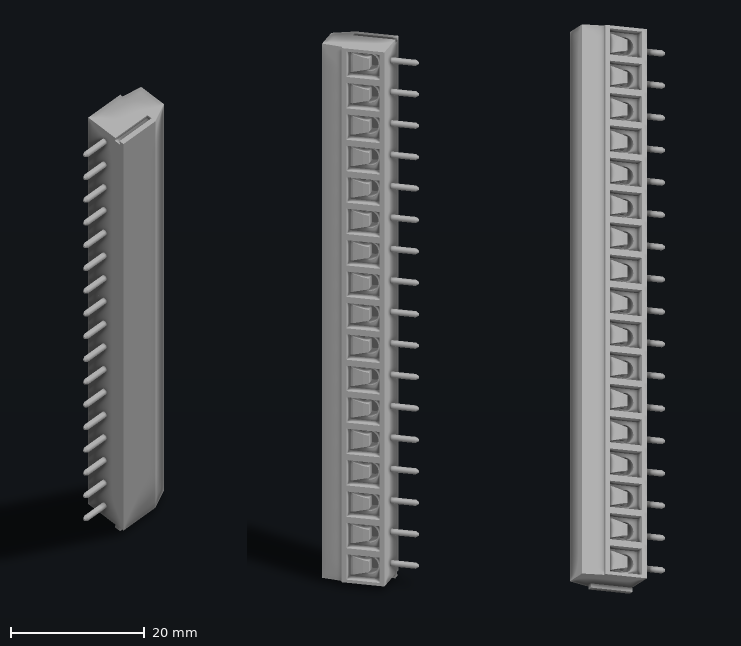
import cadquery as cq

poles = 17
body_width = 7.5
body_depth = 10.0
total_length = 85.7
rail_height = 0.7
pin_length = 4.3

body_bottom = rail_height
body_length = total_length - rail_height
pitch = body_length / poles

shoulder_y = 6.7
shoulder_step = 0.5
crown_left = 1.0
crown_right = 5.9

rail_x = 6.25
rail_root_width = 0.85
rail_tip_width = 1.1

window_bottom_y = 0.8
window_top_y = 5.9
window_height = 4.0
window_depth = 1.8

hole_y = 2.8
hole_radius = 1.4
hole_depth = 2.6

leaf_rise = 0.9
leaf_root = 0.85
leaf_tip_y = 2.7
leaf_bend_y = 3.6
leaf_ramp_y = 5.1
leaf_top_y = 5.6
leaf_tip_height = 1.7
leaf_bend_height = 2.05
leaf_top_height = 3.1
leaf_bend_drop = 0.2
leaf_ramp_drop = 0.21

pin_x = 3.5
pin_radius = 0.47
pin_tip_length = 0.4
pin_tip_inset = 0.25


def make_body():
    outline = [
        (0, 0),
        (body_width, 0),
        (body_width, shoulder_y),
        (crown_right, body_depth),
        (crown_left, body_depth),
        (shoulder_step, shoulder_y),
        (0, shoulder_y),
    ]
    return cq.Workplane("XY").workplane(offset=body_bottom).polyline(outline).close().extrude(body_length)


def dovetail(root_z):
    """Dovetail bar along Y, narrow at root_z and wide one rail height below it."""
    tip_z = root_z - rail_height
    profile = [
        (rail_x - rail_root_width / 2, root_z),
        (rail_x + rail_root_width / 2, root_z),
        (rail_x + rail_tip_width / 2, tip_z),
        (rail_x - rail_tip_width / 2, tip_z),
    ]
    return cq.Workplane("XZ").polyline(profile).close().extrude(-shoulder_y)


def make_window(z):
    """Rectangular wire window with the round wire hole behind it."""
    window = (
        cq.Workplane("XY", origin=(0, window_bottom_y, z))
        .box(window_depth, window_top_y - window_bottom_y, window_height, centered=(False, False, True))
    )
    hole = (
        cq.Workplane("YZ")
        .center(hole_y, z)
        .circle(hole_radius)
        .extrude(window_depth + hole_depth)
    )
    return window.union(hole)


def make_leaf(z):
    """Bent clamp leaf: its side profile trimmed to a tapering front outline."""
    back_x = window_depth + leaf_root
    front_x = window_depth - leaf_rise
    side = [
        (back_x, leaf_tip_y),
        (front_x + leaf_bend_drop, leaf_tip_y),
        (front_x, leaf_bend_y),
        (front_x, leaf_ramp_y),
        (front_x + leaf_ramp_drop, leaf_top_y),
        (back_x, leaf_top_y),
    ]
    front = [
        (leaf_tip_y, -leaf_tip_height / 2),
        (leaf_bend_y, -leaf_bend_height / 2),
        (leaf_top_y, -leaf_top_height / 2),
        (leaf_top_y, leaf_top_height / 2),
        (leaf_bend_y, leaf_bend_height / 2),
        (leaf_tip_y, leaf_tip_height / 2),
    ]
    side_slab = cq.Workplane("XY").polyline(side).close().extrude(leaf_top_height / 2, both=True)
    front_slab = cq.Workplane("YZ").polyline(front).close().extrude(back_x)
    return side_slab.intersect(front_slab).translate((0, 0, z))


def make_pin(z):
    embed = pin_radius
    return (
        cq.Workplane("XZ", origin=(0, embed, 0))
        .center(pin_x, z)
        .circle(pin_radius)
        .extrude(pin_length + embed)
        .faces("<Y")
        .chamfer(pin_tip_length, pin_tip_inset)
    )


pole_heights = [body_bottom + (pole + 0.5) * pitch for pole in range(poles)]

result = make_body().union(dovetail(body_bottom)).cut(dovetail(total_length))
for pole_z in pole_heights:
    result = result.cut(make_window(pole_z)).union(make_leaf(pole_z)).union(make_pin(pole_z))